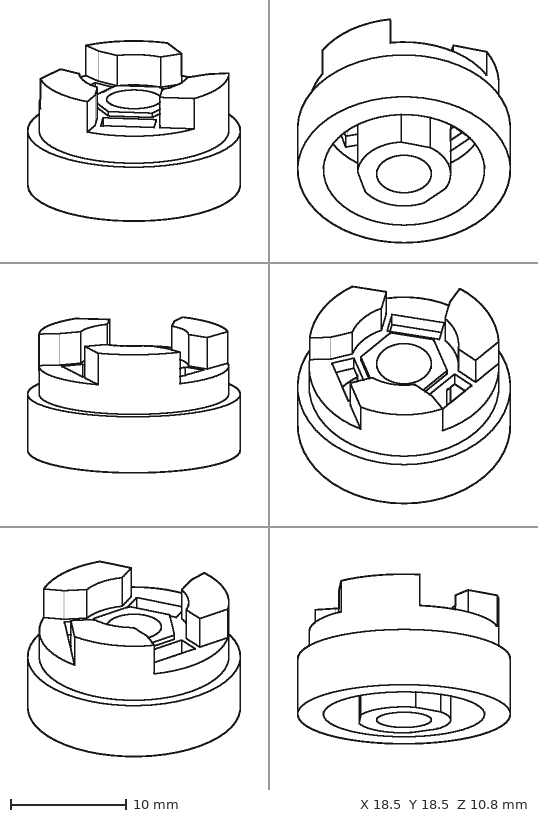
import cadquery as cq
import math

base_radius = 9.25
base_height = 5.0
step_radius = 8.25
step_height = 2.5
tooth_height = 2.8
hex_height = 0.4
hex_across_flats = 6.65
boss_radius = 4.05
boss_drop = 0.5
bore_diameter = 4.75
step_top = base_height + step_height
tooth_top = step_top + tooth_height

cavity_radius = 7.0
floor_thickness = 1.3
cavity_depth = step_top - floor_thickness

repeats = 3
slot_length = 4.65
slot_width = 2.0
slot_inner = 3.83
slot_outer = slot_inner + slot_width
tooth_inner_radius = 4.75
tooth_clearance = 0.5
gap_half_width = slot_length / 2 + tooth_clearance
gap_flare_angle = 16.5


def cylinder(radius, bottom, top):
    """Upright cylinder on the Z axis."""
    return cq.Workplane("XY").workplane(offset=bottom).circle(radius).extrude(top - bottom)


def repeat_around(shape):
    """Union of equally spaced copies of a shape about the Z axis."""
    combined = shape
    for index in range(1, repeats):
        combined = combined.union(shape.rotate((0, 0, 0), (0, 0, 1), index * 360 / repeats))
    return combined


def tooth_gap():
    """Space between two teeth: straight throat, one square shoulder and one flared side."""
    reach = 2 * step_radius
    flare_run = (reach - slot_outer) * math.tan(math.radians(gap_flare_angle))
    return (
        cq.Workplane("XY")
        .workplane(offset=step_top)
        .moveTo(-gap_half_width, 0)
        .lineTo(gap_half_width, 0)
        .lineTo(gap_half_width, slot_outer)
        .lineTo(gap_half_width + flare_run, reach)
        .lineTo(-reach, reach)
        .lineTo(-reach, slot_outer)
        .lineTo(-gap_half_width, slot_outer)
        .close()
        .extrude(tooth_height)
    )


def teeth():
    """Ring above the step, split into three teeth."""
    ring = cylinder(step_radius, step_top, tooth_top).cut(cylinder(tooth_inner_radius, step_top, tooth_top))
    return ring.cut(repeat_around(tooth_gap()))


def slot():
    """Rectangular through slot on the +Y side; its inner wall also flattens the boss."""
    return (
        cq.Workplane("XY")
        .workplane(offset=-boss_drop)
        .center(0, slot_inner + slot_width / 2)
        .rect(slot_length, slot_width)
        .extrude(boss_drop + step_top)
    )


def hexagon():
    """Raised hexagonal pad with corners on the X axis."""
    corner_diameter = hex_across_flats / math.cos(math.pi / 6)
    return cq.Workplane("XY").workplane(offset=step_top).polygon(6, corner_diameter).extrude(hex_height)


shell = cylinder(base_radius, 0, base_height).union(cylinder(step_radius, base_height, step_top))
shell = shell.cut(cylinder(cavity_radius, 0, cavity_depth))
body = shell.union(cylinder(boss_radius, -boss_drop, step_top)).union(hexagon()).union(teeth())
body = body.cut(repeat_around(slot()))
result = body.cut(cylinder(bore_diameter / 2, -boss_drop, tooth_top))